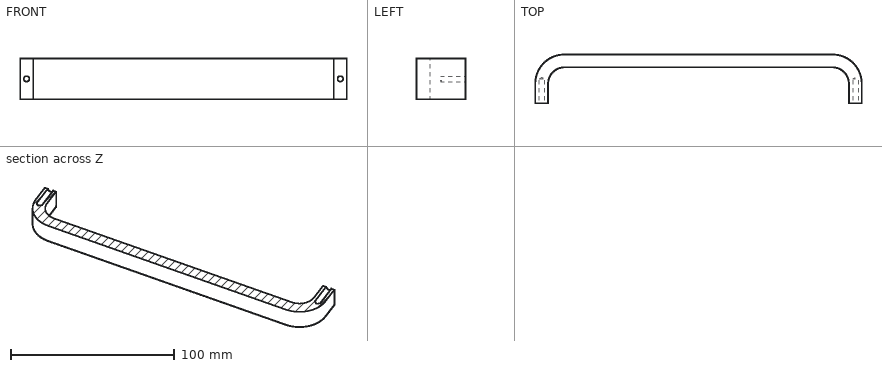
import cadquery as cq
import math

length = 200.0
depth = 30.0
height = 25.0

thickness = 8.0
inner_radius = 10.0
outer_radius = inner_radius + thickness

hole_diameter = 3.5
hole_depth = 15.0
tip_angle = 118.0
hole_spacing = length - thickness


def rounded_block(width, block_depth, corner_radius):
    """Block with its open side on Y = 0 and its two far vertical edges rounded."""
    block = cq.Workplane("XY").box(width, block_depth, height, centered=(True, False, True))
    return block.edges("|Z and >Y").fillet(corner_radius)


def bent_bar():
    outside = rounded_block(length, depth, outer_radius)
    inside = rounded_block(length - 2 * thickness, depth - thickness, inner_radius)
    return outside.cut(inside)


def mounting_hole(x):
    """Drilled hole running along +Y, ending in a conical tip."""
    radius = hole_diameter / 2
    tip_length = radius / math.tan(math.radians(tip_angle / 2))
    half_section = (
        cq.Workplane("XY")
        .lineTo(radius, 0)
        .lineTo(radius, hole_depth)
        .lineTo(0, hole_depth + tip_length)
        .close()
    )
    drill = half_section.revolve(360, (0, 0, 0), (0, 1, 0))
    return drill.translate((x, 0, 0))


result = bent_bar()
for side in (-1, 1):
    result = result.cut(mounting_hole(side * hole_spacing / 2))